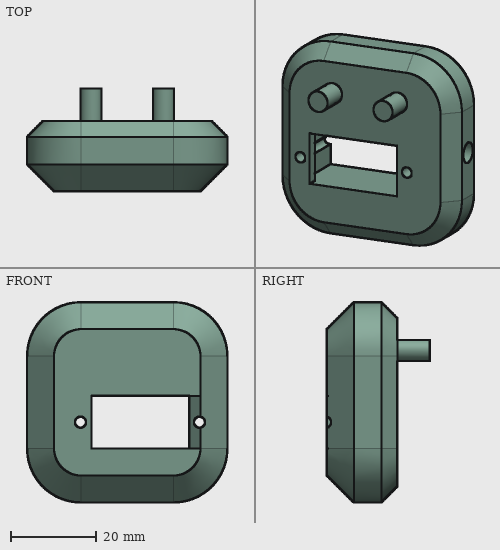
import cadquery as cq

side = 47.0
body_depth = 16.55
corner_radius = 12.7
front_chamfer = 6.35
back_chamfer = 3.75

peg_diameter = 5.0
peg_length = 7.6
peg_spacing = 17.0
peg_z = 12.1

window_left = -8.3
window_right = side / 2 - front_chamfer
window_top = 1.5
window_bottom = corner_radius - side / 2
wall_slope_start = 11.2
wall_slope_run = 2.7

screw_diameter = 2.55
screw_left_x = -10.95
screw_right_x = 16.9
screw_z = (window_top + window_bottom) / 2

pin_diameter = 4.9
pin_depth = 3.0
pin_y = (front_chamfer + body_depth - back_chamfer) / 2


def rod(diameter, length, start, direction):
    """A cylinder that runs from a start point along a direction."""
    return cq.Workplane(cq.Solid.makeCylinder(
        diameter / 2, length, cq.Vector(*start), cq.Vector(*direction)))


def make_body():
    plate = cq.Workplane("XY").box(side, body_depth, side).translate((0, body_depth / 2, 0))
    plate = plate.edges("|Y").fillet(corner_radius)
    plate = plate.faces("<Y").chamfer(front_chamfer)
    return plate.faces(">Y").chamfer(back_chamfer)


def make_window():
    back_right = window_right - wall_slope_run
    outline = [
        (window_left, 0),
        (window_right, 0),
        (window_right, wall_slope_start),
        (back_right, wall_slope_start + wall_slope_run),
        (back_right, body_depth),
        (window_left, body_depth),
    ]
    height = window_top - window_bottom
    return cq.Workplane("XY", origin=(0, 0, window_bottom)).polyline(outline).close().extrude(height)


result = make_body().cut(make_window())

for screw_x in (screw_left_x, screw_right_x):
    result = result.cut(rod(screw_diameter, body_depth, (screw_x, 0, screw_z), (0, 1, 0)))

result = result.cut(rod(pin_diameter, pin_depth, (-side / 2, pin_y, 0), (1, 0, 0)))

for peg_x in (-peg_spacing / 2, peg_spacing / 2):
    result = result.union(rod(peg_diameter, peg_length, (peg_x, body_depth, peg_z), (0, 1, 0)))